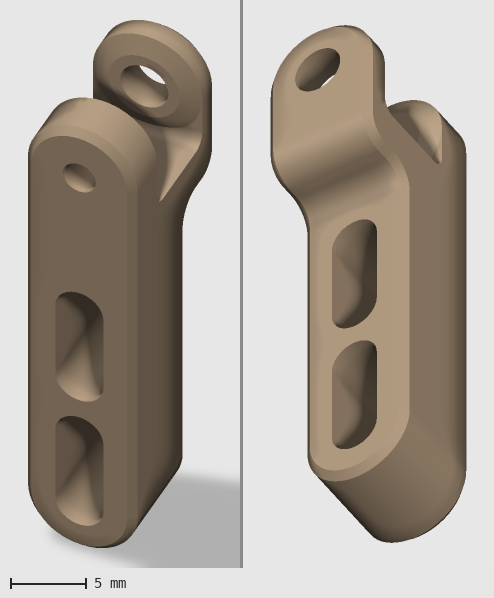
import cadquery as cq

height = 37.0
width = 8.0
end_radius = width / 2
depth = 12.5
bar_depth = 8.0
edge_chamfer = 0.5

step_z = 25.5
step_outer_radius = 2.0
step_inner_radius = 1.5

gap_front = 3.5
gap_back = 10.5
gap_floor = 29.1
gap_radius = 1.0

pivot_z = height - end_radius
boss_height = 0.5
boss_tip_diameter = 5.18
front_hole_diameter = 2.4
rear_hole_diameter = 3.5

slot_width = 3.5
slot_travel = 6.0
slot_pitch = 11.03
first_slot_z = end_radius + slot_travel / 2


def make_body():
    """Round-ended bar with its stepped back and chamfered front and back rims."""
    bar = (
        cq.Workplane("XZ")
        .center(0, height / 2)
        .slot2D(height, width, 90)
        .extrude(-depth)
    )
    side_profile = (
        cq.Workplane("YZ")
        .moveTo(0, 0)
        .lineTo(bar_depth, 0)
        .lineTo(bar_depth, step_z - step_inner_radius)
        .radiusArc((bar_depth + step_inner_radius, step_z), step_inner_radius)
        .lineTo(depth - step_outer_radius, step_z)
        .radiusArc((depth, step_z + step_outer_radius), -step_outer_radius)
        .lineTo(depth, height)
        .lineTo(0, height)
        .close()
        .extrude(end_radius, both=True)
    )
    body = bar.intersect(side_profile)
    body = body.faces("<Y").edges().chamfer(edge_chamfer)
    return body.faces(">Y").edges("%CIRCLE").chamfer(edge_chamfer)


def make_gap():
    """Cutter for the space between the ears, with rounded floor corners."""
    return (
        cq.Workplane("XY")
        .box(width, gap_back - gap_front, height - gap_floor, centered=(True, False, False))
        .translate((0, gap_front, gap_floor))
        .edges("|X and <Z")
        .fillet(gap_radius)
    )


def make_boss(wall_y, direction):
    """Cone standing on an ear's inner wall, as wide as the ear at its base."""
    return cq.Workplane(
        cq.Solid.makeCone(
            end_radius,
            boss_tip_diameter / 2,
            boss_height,
            pnt=cq.Vector(0, wall_y, pivot_z),
            dir=cq.Vector(0, direction, 0),
        )
    )


def make_pivot_hole(diameter, start_y, end_y):
    """Cutter for a round hole on the pivot axis."""
    return (
        cq.Workplane("XZ", origin=(0, start_y, pivot_z))
        .circle(diameter / 2)
        .extrude(start_y - end_y)
    )


def make_slots():
    """Cutter for the two vertical slots through the bar."""
    slot_centers = [(0, first_slot_z + i * slot_pitch) for i in range(2)]
    return (
        cq.Workplane("XZ")
        .pushPoints(slot_centers)
        .slot2D(slot_travel + slot_width, slot_width, 90)
        .extrude(-depth)
    )


gap_middle = (gap_front + gap_back) / 2

result = (
    make_body()
    .cut(make_gap())
    .union(make_boss(gap_front, 1))
    .union(make_boss(gap_back, -1))
    .cut(make_pivot_hole(front_hole_diameter, 0, gap_middle))
    .cut(make_pivot_hole(rear_hole_diameter, gap_middle, depth))
    .cut(make_slots())
)